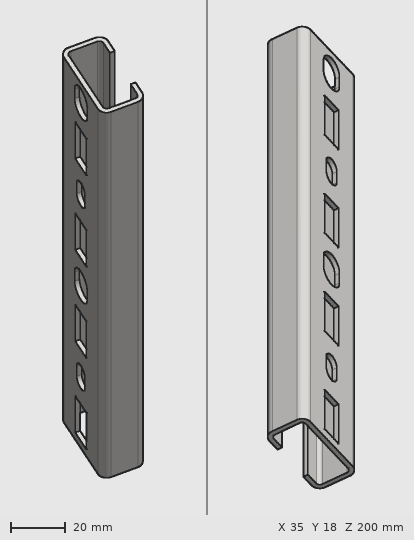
import cadquery as cq

length = 200.0
width = 35.0
depth = 18.0
thickness = 2.0
bend_radius = 3.5
mouth_width = 17.0

hole_pitch = 25.0
first_hole_height = 14.0
window_width = 9.2
window_length = 20.0
small_slot_width = 6.8
small_slot_length = 12.5
large_slot_width = 10.5
large_slot_length = 15.5


def make_channel():
    """Bent C channel standing along Z, with its back wall on the -Y side."""
    outer = cq.Workplane("XY").rect(width, depth).extrude(length)
    outer = outer.edges("|Z").fillet(bend_radius)
    inner = cq.Workplane("XY").rect(width - 2 * thickness, depth - 2 * thickness).extrude(length)
    inner = inner.edges("|Z").fillet(bend_radius - thickness)
    mouth = cq.Workplane("XY").box(mouth_width, depth / 2, length, centered=(True, False, False))
    return outer.cut(inner).cut(mouth)


def back_wall_plane(height):
    """Sketch plane on the outer back face, centred at the given height."""
    return cq.Workplane("XZ", origin=(0, -depth / 2, height))


def window_cutter(height):
    """Rectangular hole through the back wall."""
    return back_wall_plane(height).rect(window_width, window_length).extrude(-thickness)


def slot_cutter(height, slot_width, slot_length):
    """Upright round-ended hole through the back wall."""
    return back_wall_plane(height).slot2D(slot_length, slot_width, 90).extrude(-thickness)


result = make_channel()

pattern_pitch = 4 * hole_pitch
for pattern in range(2):
    start = first_hole_height + pattern * pattern_pitch
    result = result.cut(window_cutter(start))
    result = result.cut(slot_cutter(start + hole_pitch, small_slot_width, small_slot_length))
    result = result.cut(window_cutter(start + 2 * hole_pitch))
    result = result.cut(slot_cutter(start + 3 * hole_pitch, large_slot_width, large_slot_length))